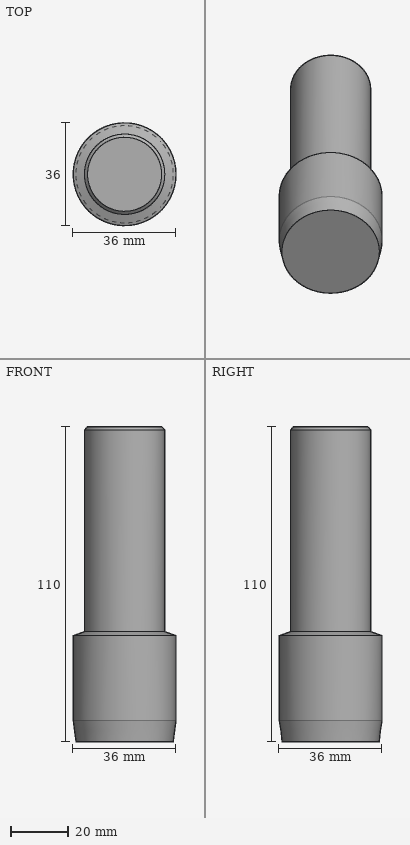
import cadquery as cq

total_height = 110.0
body_diameter = 36.0
shank_diameter = 28.0

plug_height = 38.5
nose_height = 7.5
nose_diameter = 34.0
shoulder_height = 1.4

shank_chamfer = 1.1

plug_radius = body_diameter / 2
shank_radius = shank_diameter / 2
nose_radius = nose_diameter / 2
shank_length = total_height - plug_height


def make_plug():
    """Stepped plug with a tapered nose below and a conical shoulder above."""
    profile = (
        cq.Workplane("XZ")
        .lineTo(nose_radius, 0)
        .lineTo(plug_radius, nose_height)
        .lineTo(plug_radius, plug_height - shoulder_height)
        .lineTo(shank_radius, plug_height)
        .lineTo(0, plug_height)
        .close()
    )
    return profile.revolve(360, (0, 0, 0), (0, 1, 0))


def make_shank():
    """Round shank standing on the flat top of the plug."""
    return (
        cq.Workplane("XY", origin=(0, 0, plug_height))
        .circle(shank_radius)
        .extrude(shank_length)
        .faces(">Z")
        .chamfer(shank_chamfer)
    )


plug = make_plug()
shank = make_shank()

result = cq.Compound.makeCompound([plug.val(), shank.val()])